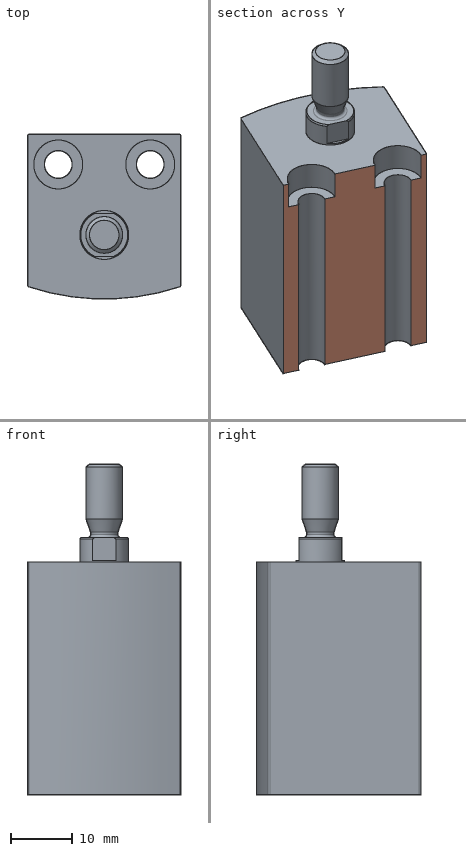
import cadquery as cq
import math

overall_height = 54.0
rod_height = 16.0
housing_height = overall_height - rod_height
housing_width = 25.0
housing_depth = 26.95
bow_depth = 2.05
rod_to_back = 16.45
corner_radius = 0.3

hole_spacing = 15.0
hole_to_back = 4.95
hole_diameter = 4.5
counterbore_diameter = 8.0
counterbore_depth = 4.6

collar_diameter = 8.0
collar_height = 4.0
collar_chamfer_width = 0.15
collar_chamfer_height = 0.25
flats_width = 7.0
flats_start = 0.25
neck_diameter = 4.5
neck_fillet = 0.5
neck_top = 4.85
cone_top = 7.0
thread_diameter = 6.0
tip_diameter = 4.8
tip_chamfer_height = 0.5


def make_housing():
    half_width = housing_width / 2
    front = rod_to_back - housing_depth
    side_front = front + bow_depth
    body = (
        cq.Workplane("XY")
        .moveTo(-half_width, side_front)
        .threePointArc((0, front), (half_width, side_front))
        .lineTo(half_width, rod_to_back)
        .lineTo(-half_width, rod_to_back)
        .close()
        .extrude(housing_height)
        .edges("|Z")
        .fillet(corner_radius)
    )
    hole_y = rod_to_back - hole_to_back
    hole_centers = [(side * hole_spacing / 2, hole_y) for side in (-1, 1)]
    return (
        body.faces(">Z")
        .workplane(origin=(0, 0, housing_height))
        .pushPoints(hole_centers)
        .cboreHole(hole_diameter, counterbore_diameter, counterbore_depth)
    )


def make_rod_profile():
    """Half section of the rod, with X as the radius and Y as the height above the housing."""
    collar_radius = collar_diameter / 2
    neck_radius = neck_diameter / 2
    thread_radius = thread_diameter / 2

    quarter_offset = neck_fillet * (1 - math.sqrt(0.5))

    cone_angle = math.atan2(thread_radius - neck_radius, cone_top - neck_top)
    tangent_length = neck_fillet * math.tan(cone_angle / 2)
    arc_start = neck_top - tangent_length

    def cone_arc_point(angle):
        return (
            neck_radius + neck_fillet * (1 - math.cos(angle)),
            arc_start + neck_fillet * math.sin(angle),
        )

    return (
        cq.Workplane("XZ")
        .lineTo(collar_radius, 0)
        .lineTo(collar_radius, collar_height - collar_chamfer_height)
        .lineTo(collar_radius - collar_chamfer_width, collar_height)
        .lineTo(neck_radius + neck_fillet, collar_height)
        .threePointArc(
            (neck_radius + quarter_offset, collar_height + quarter_offset),
            (neck_radius, collar_height + neck_fillet),
        )
        .lineTo(neck_radius, arc_start)
        .threePointArc(cone_arc_point(cone_angle / 2), cone_arc_point(cone_angle))
        .lineTo(thread_radius, cone_top)
        .lineTo(thread_radius, rod_height - tip_chamfer_height)
        .lineTo(tip_diameter / 2, rod_height)
        .lineTo(0, rod_height)
        .close()
    )


def make_rod():
    rod = make_rod_profile().revolve(360, (0, 0, 0), (0, 1, 0))

    flat_height = collar_height - flats_start
    flat_cut_depth = (collar_diameter - flats_width) / 2
    flat_center = (flats_width + flat_cut_depth) / 2
    for side in (-1, 1):
        cutter = (
            cq.Workplane("XY")
            .workplane(offset=flats_start)
            .center(0, side * flat_center)
            .rect(collar_diameter, flat_cut_depth)
            .extrude(flat_height)
        )
        rod = rod.cut(cutter)
    return rod.translate((0, 0, housing_height))


housing = make_housing()
rod = make_rod()
result = cq.Compound.makeCompound([housing.val(), rod.val()])